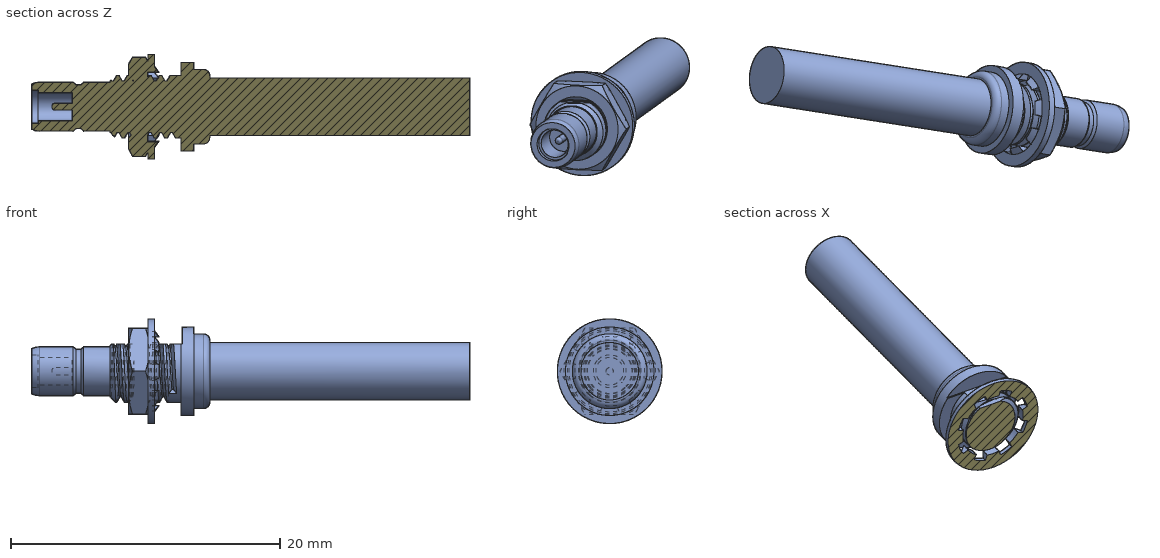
import cadquery as cq
import math


barrel_radius = 1.83
nose_length = 0.6
nose_face_radius = 1.69
groove_start = 3.09
groove_depth = 0.18
groove_wall_length = 0.2
groove_floor_length = 0.38

socket_radius = 1.03
socket_mouth_radius = 1.22
socket_mouth_length = 0.48
socket_depth = 3.0
pin_radius = 0.27
pin_tip_x = 1.5
pin_tip_round = 0.24

shank_start = 5.81
shank_radius = 2.33
shank_lead_radius = 1.9
thread_pitch = 25.4 / 32
thread_root_radius = 1.92
thread_root_width = 0.12
thread_half_angle = 30
thread_cutter_clearance = 0.1
thread_cutter_top = shank_radius + thread_cutter_clearance
thread_origin = 5.02
thread_turns = 6.875
flat_height = 2.04
flat_end = 11.18

collar_start = 11.08
collar_radius = 3.29
collar_length = 0.98
boss_radius = 2.78
boss_end = 13.25
boss_round = 0.5
cable_radius = 2.14
overall_length = 32.55

nut_start = 7.18
nut_length = 1.45
nut_sides = 6
nut_across_flats = 6.4
nut_bore_radius = 1.85
nut_face_radius_front = 3.15
nut_face_radius_back = 3.4
nut_chamfer_angle = 30

washer_radius = 3.9
washer_thickness = 0.5
washer_ring_inner_radius = 3.02
tooth_tip_radius = 2.58
tooth_projection = 0.32
tooth_count = 8
tooth_gap_width = 1.0
first_tooth_gap_angle = 180 / tooth_count

collar_end = collar_start + collar_length
nut_end = nut_start + nut_length
washer_end = nut_end + washer_thickness


def turned(points):
    """Revolve a closed outline of (x, radius) points about the X axis."""
    return cq.Workplane("XY").polyline(points).close().revolve(360, (0, 0, 0), (1, 0, 0))


def rod(start, end, radius):
    """Round bar along X between two stations."""
    return cq.Workplane("YZ", origin=(start, 0, 0)).circle(radius).extrude(end - start)


def make_barrel():
    """Plain barrel with a snap groove and a nose rounded by an arc tangent to the barrel."""
    floor_radius = barrel_radius - groove_depth
    floor_start = groove_start + groove_wall_length
    floor_end = floor_start + groove_floor_length
    round_drop = barrel_radius - nose_face_radius
    round_radius = (nose_length**2 + round_drop**2) / (2 * round_drop)
    half_sweep = math.asin(nose_length / round_radius) / 2
    round_middle = (
        nose_length - round_radius * math.sin(half_sweep),
        barrel_radius - round_radius * (1 - math.cos(half_sweep)),
    )
    return (
        cq.Workplane("XY")
        .moveTo(0, 0)
        .lineTo(0, nose_face_radius)
        .threePointArc(round_middle, (nose_length, barrel_radius))
        .lineTo(groove_start, barrel_radius)
        .lineTo(floor_start, floor_radius)
        .lineTo(floor_end, floor_radius)
        .lineTo(floor_end + groove_wall_length, barrel_radius)
        .lineTo(shank_start, barrel_radius)
        .lineTo(shank_start, 0)
        .close()
        .revolve(360, (0, 0, 0), (1, 0, 0))
    )


def make_thread_groove():
    """V-groove cutter swept along a right-handed helix, built about Z and then laid along X."""
    flank_spread = (thread_cutter_top - thread_root_radius) * math.tan(math.radians(thread_half_angle))
    root_half_width = thread_root_width / 2
    top_half_width = root_half_width + flank_spread
    helix = cq.Wire.makeHelix(thread_pitch, thread_turns * thread_pitch, thread_root_radius)
    groove = (
        cq.Workplane("XZ")
        .polyline([
            (thread_root_radius, -root_half_width),
            (thread_cutter_top, -top_half_width),
            (thread_cutter_top, top_half_width),
            (thread_root_radius, root_half_width),
        ])
        .close()
        .sweep(cq.Workplane(helix), isFrenet=True)
    )
    return groove.rotate((0, 0, 0), (0, 1, 0), 90).translate((thread_origin, 0, 0))


def make_shank():
    """Threaded shank with a conical lead-in at its start."""
    threaded = rod(shank_start, collar_start, shank_radius).cut(make_thread_groove())
    lead_length = shank_radius - shank_lead_radius
    lead_chamfer = turned([
        (shank_start, shank_lead_radius),
        (shank_start + lead_length, shank_radius),
        (shank_start + lead_length, thread_cutter_top),
        (shank_start, thread_cutter_top),
    ])
    return threaded.cut(lead_chamfer)


def make_collar_and_cable():
    collar = rod(collar_start, collar_end, collar_radius)
    boss = rod(collar_end, boss_end, boss_radius).faces(">X").edges().fillet(boss_round)
    cable = rod(boss_end, overall_length, cable_radius)
    return collar.union(boss).union(cable)


def make_key_flat():
    """Block above the flat that runs along the shank and bites into the collar face."""
    length = flat_end - shank_start
    return cq.Workplane("XY", origin=(shank_start, 0, flat_height)).box(
        length, 2 * collar_radius, collar_radius, centered=(False, True, False)
    )


def make_socket():
    """Cavity of the mating end, with a wider mouth."""
    return turned([
        (0, 0),
        (0, socket_mouth_radius),
        (socket_mouth_length, socket_mouth_radius),
        (socket_mouth_length, socket_radius),
        (socket_depth, socket_radius),
        (socket_depth, 0),
    ])


def make_pin():
    return rod(pin_tip_x, socket_depth, pin_radius).faces("<X").edges().fillet(pin_tip_round)


def make_nut():
    """Hexagon with conically chamfered corners and a countersunk bore that is filled by the shank."""
    corner_radius = nut_across_flats / 2 / math.cos(math.pi / nut_sides)
    slope = math.tan(math.radians(nut_chamfer_angle))
    front_chamfer = (corner_radius - nut_face_radius_front) * slope
    back_chamfer = (corner_radius - nut_face_radius_back) * slope
    countersink = shank_radius - nut_bore_radius
    nut_plane = cq.Workplane("YZ", origin=(nut_start, 0, 0))
    hexagon = nut_plane.polygon(nut_sides, 2 * corner_radius).extrude(nut_length)
    envelope = turned([
        (nut_start, shank_radius),
        (nut_start, nut_face_radius_front),
        (nut_start + front_chamfer, corner_radius),
        (nut_end - back_chamfer, corner_radius),
        (nut_end, nut_face_radius_back),
        (nut_end, nut_bore_radius),
        (nut_start + countersink, nut_bore_radius),
    ])
    return hexagon.intersect(envelope)


def make_washer():
    """Flat ring with tapered inner teeth that stand proud of its collar side."""
    ring = rod(nut_end, washer_end, washer_radius).cut(rod(nut_end, washer_end, washer_ring_inner_radius))
    teeth = turned([
        (nut_end, washer_ring_inner_radius),
        (washer_end, washer_ring_inner_radius),
        (washer_end + tooth_projection, tooth_tip_radius),
        (nut_end, tooth_tip_radius),
    ])
    gap_length = washer_thickness + tooth_projection
    for index in range(tooth_count):
        angle = first_tooth_gap_angle + index * 360 / tooth_count
        gap = (
            cq.Workplane("XY", origin=(nut_end, 0, 0))
            .box(gap_length, washer_ring_inner_radius, tooth_gap_width, centered=(False, False, True))
            .rotate((0, 0, 0), (1, 0, 0), angle)
        )
        teeth = teeth.cut(gap)
    return ring.union(teeth)


body = make_barrel().union(make_shank()).union(make_collar_and_cable())
body = body.cut(make_key_flat()).cut(make_socket()).union(make_pin())
result = body.union(make_nut()).union(make_washer())